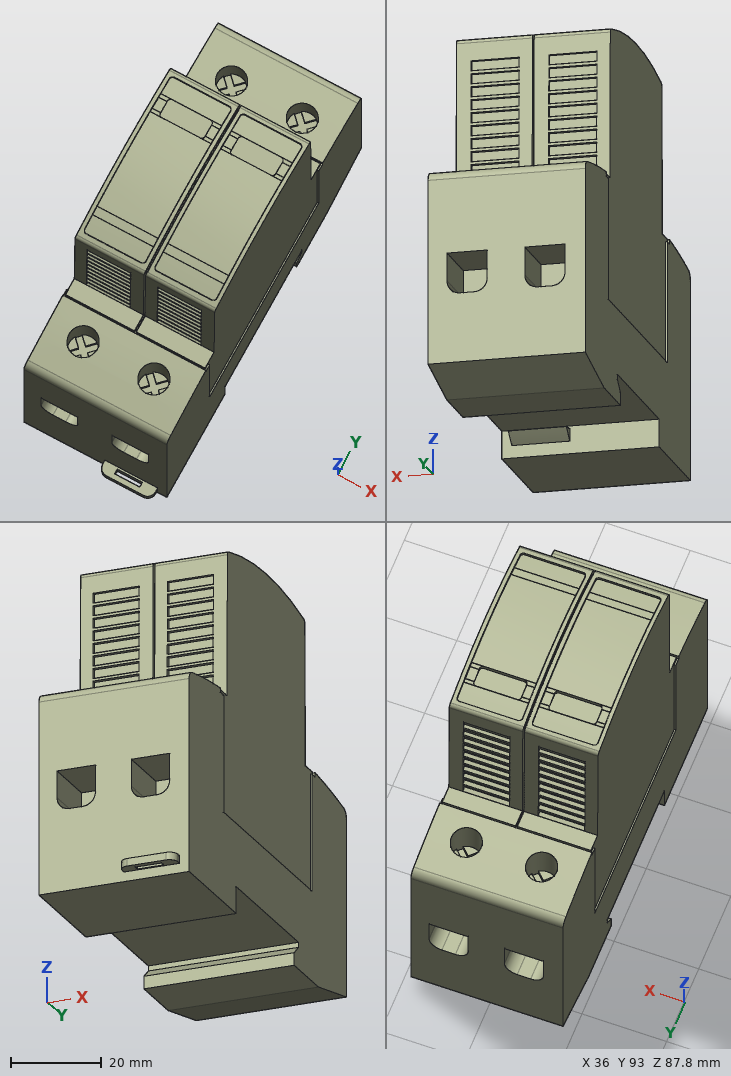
import cadquery as cq

base_width = 36.0
base_length = 90.0
base_half = base_length / 2
front_top_z = 46.0
shoulder_edge_y = 43.2
shoulder_edge_z = 48.1
shoulder_mid_y = 36.1
shoulder_mid_z = 49.35
shoulder_z = 50.4
shoulder_flat_y = 27.0
end_round_mid_y = 44.5
end_round_mid_z = 47.35
slope_start_y = 28.9
slope_end_z = 3.6

rail_top_z = 6.4
rail_front_y = -18.1
rail_hook_y = 15.0
rail_undercut_y = 17.5
hook_flat_z = 3.0
hook_slope_z = 5.2

clip_x_min = 2.4
clip_x_max = 15.7
clip_nose_y = -15.1
clip_nose_z = 5.4
clip_root_top_z = 5.8
clip_root_bottom_z = 2.9
clip_bulge = 0.25
tab_reach = 3.0
tab_bottom_z = 2.3
tab_thickness = 1.8
tab_corner_radius = 2.0
tab_slot_x_min = 5.8
tab_slot_x_max = 12.1
tab_slot_width = 1.2
tab_slot_gap = 0.5
tab_root = 1.0

module_pitch = 17.8
module_centers = (-module_pitch / 2, module_pitch / 2)
modules_width = 35.2
total_height = 87.81
tower_bottom_half = 22.45
tower_top_half = 22.15
tower_corner_z = 84.85
tower_round_radius = 1.0
edge_tolerance = 0.1
socket_half_length = 25.2
socket_floor_z = 21.5
flange_half_length = 26.8
flange_thickness = 1.0
flange_z = shoulder_z - flange_thickness
gap_width = 0.4
gap_depth = 1.0

label_width = 15.4
label_y_min = -20.2
label_y_max = 20.5
label_depth = 0.65
label_corner_radius = 0.8
window_width = 11.2
window_y_min = 10.8
window_y_max = 15.7
window_floor_z = 85.5
window_corner_radius = 0.8
window_band_depth = 0.15
strip_inset = 0.95
strip_depth = 0.3
stripe_y_min = -15.8
stripe_y_max = -13.7
stripe_depth = 0.1

vent_count = 10
vent_width = 11.0
vent_shift = -0.15
vent_height = 2.4
vent_sill_rise = 0.35
vent_pitch = 3.0
vent_top_z = 79.9
vent_depth = 0.7

terminal_shift = 0.15
screw_y = 34.0
screw_diameter = 7.1
screw_head_z = 42.0
screw_slot_width = 1.6
screw_slot_depth = 1.0
wire_width = 9.2
wire_bottom_z = 19.5
wire_top_z = 28.9
wire_corner_radius = 3.0
wire_depth = 14.0


def box(x_min, x_max, y_min, y_max, z_min, z_max):
    size = (x_max - x_min, y_max - y_min, z_max - z_min)
    return cq.Workplane("XY").box(*size, centered=False).translate((x_min, y_min, z_min))


def extrude_profile(profile, width):
    """Close a Y-Z profile and extrude it equally to both sides of its plane."""
    return profile.close().extrude(width / 2, both=True)


def make_base():
    profile = (
        cq.Workplane("YZ")
        .moveTo(-base_half, 0)
        .lineTo(-base_half, front_top_z)
        .threePointArc((-end_round_mid_y, end_round_mid_z), (-shoulder_edge_y, shoulder_edge_z))
        .threePointArc((-shoulder_mid_y, shoulder_mid_z), (-shoulder_flat_y, shoulder_z))
        .lineTo(shoulder_flat_y, shoulder_z)
        .threePointArc((shoulder_mid_y, shoulder_mid_z), (shoulder_edge_y, shoulder_edge_z))
        .threePointArc((end_round_mid_y, end_round_mid_z), (base_half, front_top_z))
        .lineTo(base_half, slope_end_z)
        .lineTo(slope_start_y, 0)
        .lineTo(rail_hook_y, 0)
        .lineTo(rail_hook_y, hook_flat_z)
        .lineTo(rail_undercut_y, hook_slope_z)
        .lineTo(rail_undercut_y, rail_top_z)
        .lineTo(rail_front_y, rail_top_z)
        .lineTo(rail_front_y, 0)
    )
    return extrude_profile(profile, base_width)


def crown_radius():
    """Radius of the arc over the tower, from its chord and rise."""
    rise = total_height - tower_corner_z
    return (tower_top_half ** 2 + rise ** 2) / (2 * rise)


def crown_layer(depth):
    """Solid of all points lying below the crown surface lowered by `depth`."""
    radius = crown_radius() - depth
    return (
        cq.Workplane("YZ")
        .center(0, total_height - crown_radius())
        .circle(radius)
        .extrude(base_width, both=True)
    )


def make_tower():
    profile = (
        cq.Workplane("YZ")
        .moveTo(-tower_bottom_half, flange_z)
        .lineTo(-tower_top_half, tower_corner_z)
        .threePointArc((0, total_height), (tower_top_half, tower_corner_z))
        .lineTo(tower_bottom_half, flange_z)
    )
    tower = extrude_profile(profile, modules_width)
    crown_edges = cq.selectors.BoxSelector(
        (-base_width, -base_half, tower_corner_z - edge_tolerance),
        (base_width, base_half, tower_corner_z + edge_tolerance),
    )
    return tower.edges("|X").edges(crown_edges).fillet(tower_round_radius)


def cut_socket_sides(body):
    """Set the module sides back from the housing sides."""
    for side in (-1, 1):
        x_near, x_far = sorted((side * modules_width / 2, side * base_width / 2))
        body = body.cut(box(x_near, x_far, -socket_half_length, socket_half_length,
                            socket_floor_z, shoulder_z))
        body = body.cut(box(x_near, x_far, -flange_half_length, flange_half_length,
                            flange_z, shoulder_z))
    return body


def cut_flange_gaps(body):
    for y in (-flange_half_length, flange_half_length):
        body = body.cut(box(-base_width / 2, base_width / 2, y - gap_width / 2, y + gap_width / 2,
                            flange_z, total_height))
    return body


def cut_module_gap(body):
    """Narrow groove where the two modules meet, running over tower and flanges."""
    core_half = tower_top_half - gap_depth
    slit = box(-gap_width / 2, gap_width / 2, -flange_half_length, flange_half_length,
               flange_z, total_height)
    core = box(-gap_width, gap_width, -core_half, core_half, 0, total_height)
    return body.cut(slit.cut(core.intersect(crown_layer(gap_depth))))


def top_pocket(x_center, width, y_min, y_max, depth, corner_radius=0.0):
    """Cutter for a pocket whose floor follows the crown at `depth`."""
    x_min = x_center - width / 2
    pocket = box(x_min, x_min + width, y_min, y_max, flange_z, total_height)
    if corner_radius > 0:
        pocket = pocket.edges("|Z").fillet(corner_radius)
    return pocket.cut(crown_layer(depth))


def cut_label(body, x_center):
    pockets = (
        (label_width, label_y_min, label_y_max, label_depth, label_corner_radius),
        (label_width, window_y_min, window_y_max, label_depth + window_band_depth),
        (label_width, window_y_min + strip_inset, window_y_max - strip_inset,
         label_depth + strip_depth),
        (label_width, stripe_y_min, stripe_y_max, label_depth + stripe_depth),
    )
    for pocket in pockets:
        body = body.cut(top_pocket(x_center, *pocket))
    window = box(x_center - window_width / 2, x_center + window_width / 2,
                 window_y_min, window_y_max, window_floor_z, total_height)
    return body.cut(window.edges("|Z").fillet(window_corner_radius))


def cut_vents(body, x_center):
    """Rows of cooling slots with sloping sills in both end faces of a module."""
    inner_half = tower_top_half - vent_depth
    for row in range(vent_count):
        z_top = vent_top_z - row * vent_pitch
        z_bottom = z_top - vent_height
        for side in (-1, 1):
            slot = (
                cq.Workplane("YZ", origin=(x_center + vent_shift, 0, 0))
                .moveTo(side * tower_bottom_half, z_bottom)
                .lineTo(side * tower_bottom_half, z_top)
                .lineTo(side * inner_half, z_top)
                .lineTo(side * inner_half, z_bottom + vent_sill_rise)
            )
            body = body.cut(extrude_profile(slot, vent_width))
    return body


def make_screw_well(x, y):
    """Cutter for a screw access hole with a cross recess in the screw head."""
    well = (
        cq.Workplane("XY", origin=(x, y, screw_head_z))
        .circle(screw_diameter / 2)
        .extrude(shoulder_z - screw_head_z)
    )
    head = (
        cq.Workplane("XY", origin=(x, y, screw_head_z - screw_slot_depth))
        .circle(screw_diameter / 2)
        .extrude(screw_slot_depth)
    )
    for angle in (-45, 45):
        slot = (
            cq.Workplane("XY")
            .rect(screw_diameter, screw_slot_width)
            .extrude(screw_slot_depth)
            .rotate((0, 0, 0), (0, 0, 1), angle)
            .translate((x, y, screw_head_z - screw_slot_depth))
        )
        well = well.union(slot.intersect(head))
    return well


def make_wire_entry(x, y_min, y_max):
    entry = box(x - wire_width / 2, x + wire_width / 2, y_min, y_max, wire_bottom_z, wire_top_z)
    return entry.edges("|Y and <Z").fillet(wire_corner_radius)


def cut_terminals(body):
    """The front and rear rows match when turned half a turn about Z."""
    for side in (-1, 1):
        for x_center in module_centers:
            x = x_center + side * terminal_shift
            y_min, y_max = sorted((side * base_half, side * (base_half - wire_depth)))
            body = body.cut(make_screw_well(x, side * screw_y))
            body = body.cut(make_wire_entry(x, y_min, y_max))
    return body


def make_clip():
    """Latch nose that reaches into the rail slot."""
    bulge_y = (clip_nose_y + rail_front_y) / 2 - clip_bulge
    bulge_z = (clip_nose_z + clip_root_bottom_z) / 2 - clip_bulge
    return (
        cq.Workplane("YZ", origin=(clip_x_min, 0, 0))
        .moveTo(rail_front_y, clip_root_top_z)
        .lineTo(clip_nose_y, clip_nose_z)
        .threePointArc((bulge_y, bulge_z), (rail_front_y, clip_root_bottom_z))
        .lineTo(rail_front_y - tab_root, clip_root_bottom_z)
        .lineTo(rail_front_y - tab_root, clip_root_top_z)
        .close()
        .extrude(clip_x_max - clip_x_min)
    )


def make_tab():
    tab_top_z = tab_bottom_z + tab_thickness
    tab = box(clip_x_min, clip_x_max, -base_half - tab_reach, -base_half + tab_root,
              tab_bottom_z, tab_top_z)
    tab = tab.edges("|Z and <Y").fillet(tab_corner_radius)
    slot_y = -base_half - tab_slot_gap
    slot = box(tab_slot_x_min, tab_slot_x_max, slot_y - tab_slot_width, slot_y,
               tab_bottom_z, tab_top_z)
    return tab.cut(slot)


def make_part():
    body = cut_socket_sides(make_base()).union(make_tower())
    body = cut_flange_gaps(body)
    body = cut_module_gap(body)
    for x_center in module_centers:
        body = cut_label(body, x_center)
        body = cut_vents(body, x_center)
    body = cut_terminals(body)
    return body.union(make_clip()).union(make_tab())


result = make_part()